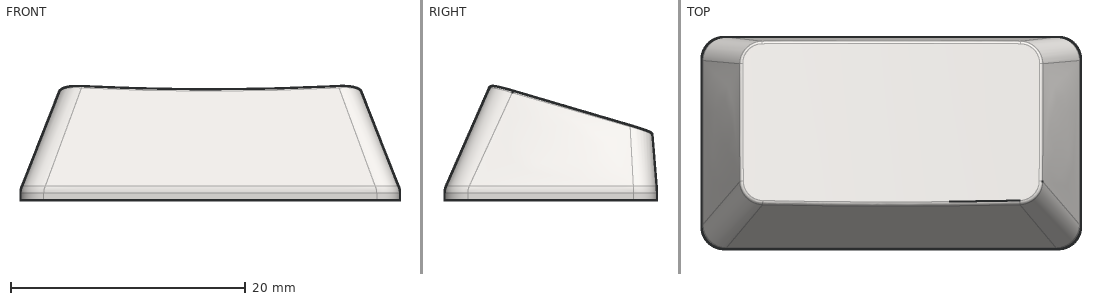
import cadquery as cq
import math

LENGTH = 32.45
WIDTH = 18.16
CORNER_RADIUS = 2.0
SKIRT_HEIGHT = 0.65
BEND_TOP = 1.25

BEND_MIDDLE_SHARE = 0.25

RIM_HALF_LENGTH = 12.9
RIM_FRONT_Y = -5.15
RIM_FRONT_Z = 9.88
RIM_BACK_Y = 8.68
RIM_BACK_Z = 5.8
DISH_RADIUS = 200.0
DISH_DEPTH = 0.33
RIM_FILLET = 0.3

OVERRUN = 1.12

HALF_LENGTH = LENGTH / 2
HALF_WIDTH = WIDTH / 2
BEND_MIDDLE = (SKIRT_HEIGHT + BEND_TOP) / 2
MEAN_RIM_Z = (RIM_FRONT_Z + RIM_BACK_Z) / 2
TILT = math.atan2(RIM_FRONT_Z - RIM_BACK_Z, RIM_BACK_Y - RIM_FRONT_Y)


def wall_inset(run, rim_z):
    """Inward shift of a wall at the top of the bend, for its total run up to the rim."""
    return run * (BEND_TOP - BEND_MIDDLE) / (rim_z - BEND_MIDDLE)


SIDE_INSET = wall_inset(HALF_LENGTH - RIM_HALF_LENGTH, MEAN_RIM_Z)
FRONT_INSET = wall_inset(HALF_WIDTH + RIM_FRONT_Y, RIM_FRONT_Z)
BACK_INSET = wall_inset(HALF_WIDTH - RIM_BACK_Y, RIM_BACK_Z)


def rounded_rectangle(plane, half_length, front, back, radius):
    """Closed outline symmetric in local x, reaching from front to back in local y."""
    diagonal = radius * (1 - math.sqrt(0.5))
    x_flat = half_length - radius
    x_mid = half_length - diagonal
    return (
        cq.Workplane(plane)
        .moveTo(-x_flat, front)
        .lineTo(x_flat, front)
        .threePointArc((x_mid, front + diagonal), (half_length, front + radius))
        .lineTo(half_length, back - radius)
        .threePointArc((x_mid, back - diagonal), (x_flat, back))
        .lineTo(-x_flat, back)
        .threePointArc((-x_mid, back - diagonal), (-half_length, back - radius))
        .lineTo(-half_length, front + radius)
        .threePointArc((-x_mid, front + diagonal), (-x_flat, front))
        .close()
        .val()
    )


def level_section(z, inset_share):
    """Horizontal outline, drawn in by a share of the inset at the top of the bend."""
    return rounded_rectangle(
        cq.Plane(origin=(0, 0, z)),
        HALF_LENGTH - inset_share * SIDE_INSET,
        -HALF_WIDTH + inset_share * FRONT_INSET,
        HALF_WIDTH - inset_share * BACK_INSET,
        CORNER_RADIUS,
    )


def overrun(start, end):
    return start + (end - start) * OVERRUN


def overrun_section():
    """Tilted outline of the walls, a little beyond the rim."""
    front_y = overrun(-HALF_WIDTH + FRONT_INSET, RIM_FRONT_Y)
    front_z = overrun(BEND_TOP, RIM_FRONT_Z)
    back_y = overrun(HALF_WIDTH - BACK_INSET, RIM_BACK_Y)
    back_z = overrun(BEND_TOP, RIM_BACK_Z)
    half_length = overrun(HALF_LENGTH - SIDE_INSET, RIM_HALF_LENGTH)
    depth = math.hypot(back_y - front_y, front_z - back_z)
    plane = cq.Plane(
        origin=(0, front_y, front_z),
        xDir=(1, 0, 0),
        normal=(0, front_z - back_z, back_y - front_y),
    )
    return rounded_rectangle(plane, half_length, 0, depth, CORNER_RADIUS)


def make_walls():
    """Straight skirt, a bend tangent to it and sloping walls up to the overrun."""
    base = level_section(0, 0)
    bend_start = level_section(SKIRT_HEIGHT, 0)
    bend_middle = level_section(BEND_MIDDLE, BEND_MIDDLE_SHARE)
    bend_end = level_section(BEND_TOP, 1)
    skirt = cq.Solid.makeLoft([base, bend_start], True)
    bend = cq.Solid.makeLoft([bend_start, bend_middle, bend_end], False)
    slopes = cq.Solid.makeLoft([bend_end, overrun_section()], True)
    return cq.Workplane(skirt).union(cq.Workplane(bend)).union(cq.Workplane(slopes))


def make_dish():
    """Large cylinder lying along the tilt of the top face."""
    along = cq.Vector(0, math.cos(TILT), -math.sin(TILT))
    upward = cq.Vector(0, math.sin(TILT), math.cos(TILT))
    rim_middle = cq.Vector(0, (RIM_FRONT_Y + RIM_BACK_Y) / 2, MEAN_RIM_Z)
    axis_middle = rim_middle + upward * (DISH_RADIUS - DISH_DEPTH)
    start = axis_middle - along * WIDTH
    return cq.Workplane(cq.Solid.makeCylinder(DISH_RADIUS, 2 * WIDTH, start, along))


def top_face(body):
    return body.faces(cq.selectors.NearestToPointSelector((0, 0, MEAN_RIM_Z)))


body = make_walls().cut(make_dish())
result = top_face(body).edges().fillet(RIM_FILLET)